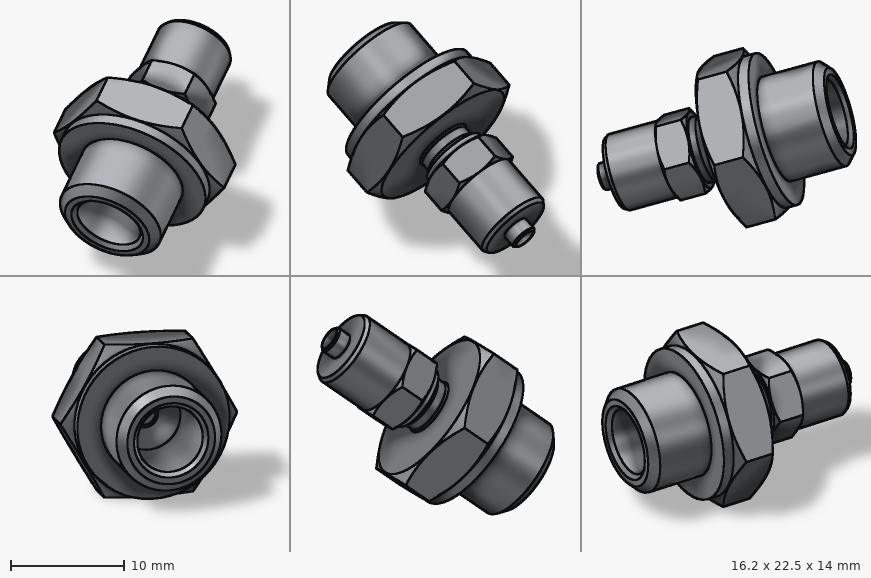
import cadquery as cq
import math

LENGTH = 22.5

THREAD_CHAMFER_END = 0.76
FLANGE_START = 6.0
BODY_HEX_START = 7.0
BODY_HEX_END = 11.0
NECK_FLARE_END = 11.23
NECK_END = 12.08
COLLAR_START = 12.5
NUT_START = 13.18
NUT_HEX_END = 16.13
NUT_END = 21.17

THREAD_R = 4.8
THREAD_TIP_R = 4.0
FLANGE_R = 6.95
NECK_R = 2.5
NECK_FLARE_R = 2.6
COLLAR_R = 3.02
TUBE_R = 1.24

BODY_HEX_FLATS = 14.0
NUT_HEX_FLATS = 7.0
NUT_R = NUT_HEX_FLATS / 2
HEX_CHAMFER_ANGLE = 30.0

NUT_CHAMFER_LENGTH = 0.38
NUT_CHAMFER_DEPTH = 0.25
TUBE_CHAMFER = 0.15

BORE_R = 3.0
BORE_MOUTH_R = 3.4
BORE_DEPTH = 8.0
DRILL_POINT_ANGLE = 118.0
PASSAGE_R = 1.0


def revolve_profile(points):
    """Turn an outline of (radius, Y) points about the Y axis."""
    return cq.Workplane("XY").polyline(points).close().revolve(360, (0, 0), (0, 1))


def chamfered_hex(flats, start, end, face_r):
    """Hexagon with corners on +/-X, its corners turned down by a cone at each end."""
    corner_r = flats / math.sqrt(3)
    drop = (corner_r - face_r) * math.tan(math.radians(HEX_CHAMFER_ANGLE))
    prism = (
        cq.Workplane("XZ", origin=(0, start, 0))
        .polygon(6, 2 * corner_r)
        .extrude(start - end)
    )
    envelope = revolve_profile([
        (0, start),
        (face_r, start),
        (corner_r, start + drop),
        (corner_r, end - drop),
        (face_r, end),
        (0, end),
    ])
    return prism.intersect(envelope)


turned_body = revolve_profile([
    (0, 0),
    (THREAD_TIP_R, 0),
    (THREAD_R, THREAD_CHAMFER_END),
    (THREAD_R, FLANGE_START),
    (FLANGE_R, FLANGE_START),
    (FLANGE_R, BODY_HEX_START),
    (NECK_FLARE_R, BODY_HEX_START),
    (NECK_FLARE_R, BODY_HEX_END),
    (NECK_R, NECK_FLARE_END),
    (NECK_R, NECK_END),
    (COLLAR_R, COLLAR_START),
    (COLLAR_R, NUT_HEX_END),
    (NUT_R, NUT_HEX_END),
    (NUT_R, NUT_END - NUT_CHAMFER_LENGTH),
    (NUT_R - NUT_CHAMFER_DEPTH, NUT_END),
    (TUBE_R, NUT_END),
    (TUBE_R, LENGTH - TUBE_CHAMFER),
    (TUBE_R - TUBE_CHAMFER, LENGTH),
    (0, LENGTH),
])

body_hex = chamfered_hex(BODY_HEX_FLATS, BODY_HEX_START, BODY_HEX_END, FLANGE_R)
nut_hex = chamfered_hex(NUT_HEX_FLATS, NUT_START, NUT_HEX_END, NUT_R)

mouth_depth = BORE_MOUTH_R - BORE_R
point_depth = (BORE_R - TUBE_R) / math.tan(math.radians(DRILL_POINT_ANGLE / 2))
bore = revolve_profile([
    (0, 0),
    (BORE_MOUTH_R, 0),
    (BORE_R, mouth_depth),
    (BORE_R, BORE_DEPTH),
    (TUBE_R, BORE_DEPTH + point_depth),
    (PASSAGE_R, BORE_DEPTH + point_depth),
    (PASSAGE_R, LENGTH),
    (0, LENGTH),
])

result = turned_body.union(body_hex).union(nut_hex).cut(bore)